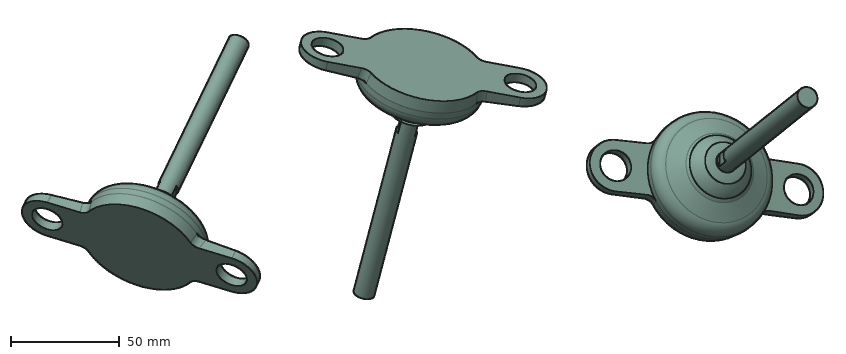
import cadquery as cq
import math

foot_diameter = 60.0
foot_radius = foot_diameter / 2
foot_bottom_radius = 29.2
rim_start = 6.0
rim_end = 9.3
shoulder_radius = 25.2
shoulder_height = 15.9
lip_radius = 16.8
lip_height = 20.0

ear_radius = 12.5
hole_spacing = 90.9
hole_diameter = 15.0
ear_fillet = 5.0
ear_tip_height = 4.1
ear_root_height = 5.8
ear_root_x = 30.5

ball_radius = 19.3
mouth_height = 21.1
collar_bottom = 26.4
collar_lip_radius = 10.1
collar_lip_height = 27.1
collar_mid_radius = 7.7
collar_mid_height = 27.9
collar_top = 28.2
stem_radius = 5.0
stem_end = 128.0
flat_width = 8.0
flat_start = 30.0
flat_end = 37.1

ball_center = rim_end
hole_x = hole_spacing / 2
ear_tip_x = hole_x + ear_radius


def ball_section_radius(height):
    """Radius of the ball's circular section at the given Y height."""
    return math.sqrt(ball_radius**2 - (height - ball_center) ** 2)


def revolve_about_y(profile):
    """Turn a closed radius/height profile into a solid around the Y axis."""
    return profile.revolve(360, (0, 0, 0), (0, 1, 0))


def make_tapered_disc():
    profile = (
        cq.Workplane("XY")
        .lineTo(foot_bottom_radius, 0)
        .lineTo(foot_radius, rim_start)
        .lineTo(0, rim_start)
        .close()
    )
    return revolve_about_y(profile)


def make_ear_wedge(side):
    """Material above the sloping top of one ear; side is -1 or 1."""
    slope = (ear_root_height - ear_tip_height) / (ear_tip_x - ear_root_x)
    inner_x = ear_root_x - (rim_start - ear_root_height) / slope
    profile = (
        cq.Workplane("XY")
        .moveTo(side * inner_x, rim_start)
        .lineTo(side * ear_tip_x, ear_tip_height)
        .lineTo(side * ear_tip_x, rim_start)
        .close()
    )
    return profile.extrude(ear_radius + ear_fillet, both=True)


def make_plate():
    """Tapered disc with two filleted, sloping and drilled ears."""
    disc = make_tapered_disc()
    ears = cq.Workplane("XZ").slot2D(2 * ear_tip_x, 2 * ear_radius).extrude(-rim_start)
    plate = disc.union(ears)

    corner_x = math.sqrt(foot_bottom_radius**2 - ear_radius**2)
    for x in (-corner_x, corner_x):
        for z in (-ear_radius, ear_radius):
            corner = cq.selectors.NearestToPointSelector((x, rim_start / 2, z))
            plate = plate.edges(corner).fillet(ear_fillet)

    for side in (-1, 1):
        plate = plate.cut(make_ear_wedge(side).cut(disc))
    holes = (
        cq.Workplane("XZ")
        .pushPoints([(-hole_x, 0), (hole_x, 0)])
        .circle(hole_diameter / 2)
        .extrude(-rim_start)
    )
    return plate.cut(holes)


def make_housing():
    """Rounded upper part of the foot, before the ball socket is cut."""
    profile = (
        cq.Workplane("XY")
        .moveTo(0, rim_start)
        .lineTo(foot_radius, rim_start)
        .lineTo(foot_radius, rim_end)
        .tangentArcPoint((shoulder_radius, shoulder_height), relative=False)
        .lineTo(lip_radius, lip_height)
        .lineTo(ball_section_radius(mouth_height), mouth_height)
        .lineTo(0, mouth_height)
        .close()
    )
    return revolve_about_y(profile)


def make_stud():
    collar_bottom_radius = ball_section_radius(collar_bottom)
    profile = (
        cq.Workplane("XY")
        .moveTo(0, ball_center)
        .lineTo(ball_radius, ball_center)
        .threePointArc(
            (ball_section_radius(mouth_height), mouth_height),
            (collar_bottom_radius, collar_bottom),
        )
        .lineTo(collar_lip_radius, collar_lip_height)
        .threePointArc((collar_mid_radius, collar_mid_height), (stem_radius, collar_top))
        .lineTo(stem_radius, stem_end)
        .lineTo(0, stem_end)
        .close()
    )
    stud = revolve_about_y(profile)


    flat_depth = stem_radius - flat_width / 2
    for side in (-1, 1):
        cutter = cq.Workplane("XY").box(flat_depth, flat_end - flat_start, 2 * stem_radius)
        cutter_x = side * (flat_width + flat_depth) / 2
        stud = stud.cut(cutter.translate((cutter_x, (flat_start + flat_end) / 2, 0)))
    return stud


stud = make_stud()
foot = make_plate().union(make_housing()).cut(stud)

result = cq.Compound.makeCompound([foot.solids().val(), stud.solids().val()])